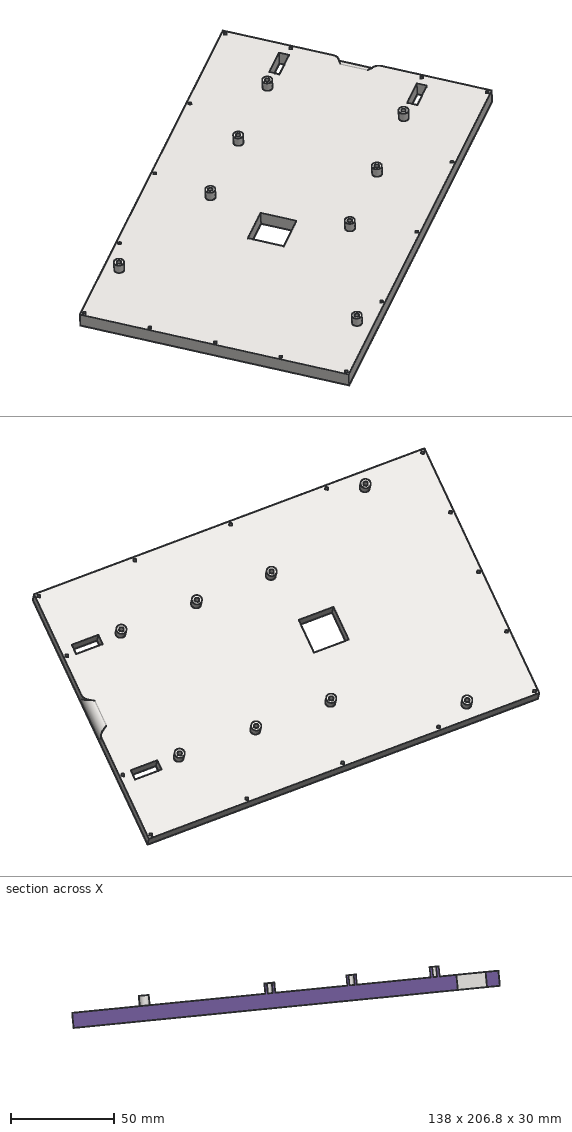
import cadquery as cq
import math

plate_width = 138.0
plate_thickness = 7.5
tilt_angle = 5.65
tilted_length = 206.8
tilt = math.radians(tilt_angle)
plate_length = (tilted_length - plate_thickness * math.sin(tilt)) / math.cos(tilt)
back_edge = plate_length / 2

standoff_diameter = 5.0
standoff_bore = 2.3
standoff_height = 5.0
standoff_pairs = [(35.0, 72.8), (35.5, 32.5), (35.8, -7.2), (61.0, -68.2)]
standoff_shift_x = -0.2

pilot_diameter = 1.5
pilot_depth = 5.0
pilot_inset = 1.75
pilot_columns = 5
pilot_rows = 5

slot_width = 5.2
slot_length = 14.0
slot_offset = 35.4
slot_center_y = 90.1
window_size = 18.5
window_center_y = -19.6

notch_depth = 4.8
notch_inner_width = 14.0
notch_outer_width = 20.3
notch_corner_radius = 4.1


def make_plate():
    return cq.Workplane("XY").rect(plate_width, plate_length).extrude(-plate_thickness)


def through_opening(width, length, x, y):
    return cq.Workplane("XY").center(x, y).rect(width, length).extrude(-plate_thickness)


def rim_hole_points():
    """Evenly spaced points on the rim; the notch replaces the middle one at the back."""
    half_x = plate_width / 2 - pilot_inset
    half_y = plate_length / 2 - pilot_inset
    column_pitch = 2 * half_x / (pilot_columns - 1)
    row_pitch = 2 * half_y / (pilot_rows - 1)
    points = []
    for column in range(pilot_columns):
        for row in range(pilot_rows):
            on_side = column in (0, pilot_columns - 1)
            on_end = row in (0, pilot_rows - 1)
            at_notch = column == pilot_columns // 2 and row == pilot_rows - 1
            if (on_side or on_end) and not at_notch:
                points.append((-half_x + column * column_pitch, -half_y + row * row_pitch))
    return points


def make_notch():
    """Material outside a quarter-round edge, limited to a flared outline."""
    inner_half = notch_inner_width / 2
    outer_half = notch_outer_width / 2
    inner_y = back_edge - notch_depth

    side_run = outer_half - inner_half
    side_length = math.hypot(side_run, notch_depth)
    turn = math.atan2(notch_depth, side_run)
    tangent = notch_corner_radius * math.tan(turn / 2)
    arc_x = outer_half - tangent * side_run / side_length
    arc_y = back_edge - tangent * notch_depth / side_length
    flare_x = outer_half + tangent
    arc_center_y = back_edge - notch_corner_radius
    middle_x = flare_x - notch_corner_radius * math.sin(turn / 2)
    middle_y = arc_center_y + notch_corner_radius * math.cos(turn / 2)
    outline = (
        cq.Workplane("XY")
        .moveTo(-inner_half, inner_y)
        .lineTo(inner_half, inner_y)
        .lineTo(arc_x, arc_y)
        .threePointArc((middle_x, middle_y), (flare_x, back_edge))
        .lineTo(-flare_x, back_edge)
        .threePointArc((-middle_x, middle_y), (-arc_x, arc_y))
        .close()
        .extrude(-notch_depth)
    )
    roll = (
        cq.Workplane("YZ")
        .workplane(offset=-flare_x)
        .center(inner_y, -notch_depth)
        .circle(notch_depth)
        .extrude(2 * flare_x)
    )
    return outline.cut(roll)


standoff_points = [(standoff_shift_x + side * x, y) for x, y in standoff_pairs for side in (-1, 1)]

body = make_plate()
for side in (-1, 1):
    body = body.cut(through_opening(slot_width, slot_length, side * slot_offset, slot_center_y))
body = body.cut(through_opening(window_size, window_size, 0, window_center_y))
body = body.cut(make_notch())

pilots = cq.Workplane("XY").pushPoints(rim_hole_points()).circle(pilot_diameter / 2).extrude(-pilot_depth)
body = body.cut(pilots)

standoffs = (
    cq.Workplane("XY")
    .pushPoints(standoff_points)
    .circle(standoff_diameter / 2)
    .extrude(standoff_height)
)
bores = cq.Workplane("XY").pushPoints(standoff_points).circle(standoff_bore / 2).extrude(standoff_height)
body = body.union(standoffs).cut(bores)

result = body.rotate((0, 0, 0), (1, 0, 0), tilt_angle)